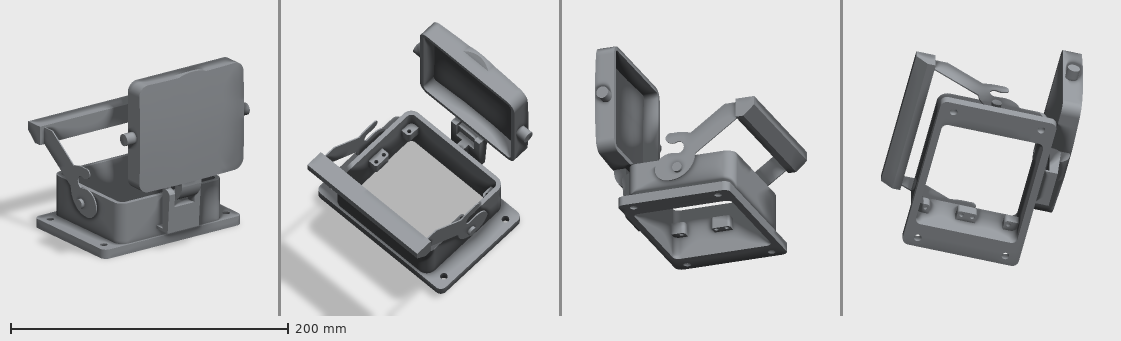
import cadquery as cq
TOTAL_HEIGHT = 138.0

PLATE_X = 86.0
PLATE_Y = 124.0
PLATE_THICKNESS = 7.0
PLATE_CORNER_R = 5.0
MOUNT_HOLE_DIA = 5.5
MOUNT_HOLE_PITCH_X = 65.0
MOUNT_HOLE_PITCH_Y = 109.6

HOUSING_X = 82.3
HOUSING_Y = 93.2
HOUSING_TOP = 38.1
WALL = 3.5
CORNER_R = 7.7

TAB_TOP = 25.4
TAB_HEIGHT = 8.7
TAB_DEPTH = 7.5
CORNER_TAB_WIDTH = 10.2
MIDDLE_TAB_WIDTH = 14.4
CORNER_TAB_R = 2.8
MIDDLE_TAB_R = 2.0
SCREW_HOLE_DIA = 3.0
SCREW_HOLE_FROM_WALL = 4.5
CORNER_SCREW_OFFSET = 6.9
MIDDLE_SCREW_PITCH = 8.0

LEVER_PIVOT_Z = 28.0
LEVER_SHAFT_DIA = 4.8
LEVER_HEAD_DIA = 7.2
LEVER_HEAD_END_Y = 53.3
ARM_INNER_Y = 49.8
ARM_THICKNESS = 1.0
ARM_TOP = 72.9
ARM_TOP_END_X = -35.9
ARM_LOWER_EDGE_Z = 60.6
HOOK_ROOT = (-9.8, 54.3)
LOBE_START = (-1.2, 39.8)
LOBE_END = (-13.1, 37.5)
GRIP_MIN_X = -60.0
GRIP_WIDTH = 14.4
GRIP_LENGTH = 108.5
GRIP_TOP = 74.0
GRIP_HEIGHT = 14.2
GRIP_CHAMFER_X = 8.4
GRIP_CHAMFER_Z = 7.6

LID_RIM_X = 50.7
LID_MAX_X = 67.5
LID_MIN_Z = 53.5
LID_DOME_R = 600.5
LID_POCKET_R = 3.3
LID_PIN_DIA = 9.0
LID_PIN_FROM_RIM = 6.1
LID_PIN_SPAN = 109.8
LIP_CHORD = 24.5
LIP_START_X = 59.9
LIP_FULL_X = 63.6

BRACKET_X = 48.6
BRACKET_WIDTH = 27.9
BRACKET_BOTTOM = 13.0
BRACKET_FLOOR = 32.7
BRACKET_TOP = 46.7
BRACKET_BASE_BACK_X = 54.7
NOSE_START_X = 51.2
NOSE_MIDDLE = (54.4, 45.7)
NOSE_END = (57.0, 43.1)
FOOT_TOP = 15.2
RIB_WIDTH = 6.4
RIB_FILLET = 3.9
TONGUE_WIDTH = 17.1
TONGUE_GAP = 18.0
TONGUE_X = 56.0
TONGUE_BACK_X = 65.0
TONGUE_ARC_START_X = 53.2
TONGUE_ARC_MIDDLE = (61.0, 41.4)
TONGUE_ARC_END_Z = 50.4
KNUCKLE_X = 50.8
KNUCKLE_BOTTOM = 37.3
KNUCKLE_TOP = 43.8
HINGE_PIN_DIA = 3.3
HINGE_PIN_X = 53.8
HINGE_PIN_Z = 40.6

lid_center_z = LID_MIN_Z + HOUSING_X / 2
lid_max_z = LID_MIN_Z + HOUSING_X
inner_x = HOUSING_X - 2 * WALL
inner_y = HOUSING_Y - 2 * WALL


def box(x_range, y_range, z_range):
    """Axis-aligned box between the given limits."""
    size = [high - low for low, high in (x_range, y_range, z_range)]
    corner = (x_range[0], y_range[0], z_range[0])
    return cq.Workplane("XY").box(*size, centered=False).translate(corner)


def across_y(profile, y_min, y_max):
    """Extrude a closed XZ profile between two Y positions."""
    return profile.extrude(y_min - y_max).translate((0, y_min, 0))


def xz():
    return cq.Workplane("XZ")


def mirrored_in_y(shape):
    return shape.union(shape.mirror("XZ"))


def base_plate():
    plate = cq.Workplane("XY").rect(PLATE_X, PLATE_Y).extrude(PLATE_THICKNESS)
    plate = plate.edges("|Z").fillet(PLATE_CORNER_R)
    holes = (
        cq.Workplane("XY")
        .rect(MOUNT_HOLE_PITCH_X, MOUNT_HOLE_PITCH_Y, forConstruction=True)
        .vertices()
        .circle(MOUNT_HOLE_DIA / 2)
        .extrude(PLATE_THICKNESS)
    )
    return plate.cut(holes)


def screw_tab(x_min, x_max, rounded_edges, radius, hole_xs):
    """Tab on the -Y wall with its free vertical corners rounded."""
    wall_y = -inner_y / 2
    tab = box((x_min, x_max), (wall_y - WALL / 2, wall_y + TAB_DEPTH), (TAB_TOP - TAB_HEIGHT, TAB_TOP))
    tab = tab.edges(rounded_edges).fillet(radius)
    holes = (
        cq.Workplane("XY")
        .pushPoints([(x, wall_y + SCREW_HOLE_FROM_WALL) for x in hole_xs])
        .circle(SCREW_HOLE_DIA / 2)
        .extrude(TAB_TOP)
    )
    return tab.cut(holes)


def screw_tabs():
    wall_x = inner_x / 2
    corner_tab = screw_tab(
        -wall_x - WALL / 2,
        -wall_x + CORNER_TAB_WIDTH,
        "|Z and >X and >Y",
        CORNER_TAB_R,
        [-wall_x + CORNER_SCREW_OFFSET],
    )
    middle_tab = screw_tab(
        -MIDDLE_TAB_WIDTH / 2,
        MIDDLE_TAB_WIDTH / 2,
        "|Z and >Y",
        MIDDLE_TAB_R,
        [-MIDDLE_SCREW_PITCH / 2, MIDDLE_SCREW_PITCH / 2],
    )
    return mirrored_in_y(corner_tab.union(corner_tab.mirror("YZ")).union(middle_tab))


def base():
    housing = cq.Workplane("XY").rect(HOUSING_X, HOUSING_Y).extrude(HOUSING_TOP)
    housing = housing.edges("|Z").fillet(CORNER_R)
    opening = cq.Workplane("XY").rect(inner_x, inner_y).extrude(HOUSING_TOP)
    opening = opening.edges("|Z").fillet(CORNER_R - WALL)
    tabs = screw_tabs().intersect(housing)
    return base_plate().union(housing).cut(opening).union(tabs)


def lever_arm():
    """Thin arm with a hook for the lid pin and a rounded lobe around the pivot."""
    grip_x = GRIP_MIN_X + GRIP_WIDTH
    outline = (
        xz()
        .moveTo(grip_x, ARM_TOP)
        .lineTo(ARM_TOP_END_X, ARM_TOP)
        .lineTo(*HOOK_ROOT)
        .threePointArc((-2.8, 55.9), (4.4, 56.0))
        .threePointArc((9.5, 52.9), (6.4, 48.7))
        .threePointArc((3.0, 48.0), (0.5, 48.9))
        .threePointArc((-4.5, 44.3), LOBE_START)
        .threePointArc((2.2, 40.0), (5.7, 40.5))
        .threePointArc((14.4, 36.7), (17.8, 27.9))
        .threePointArc((14.1, 21.8), (5.5, 19.3))
        .threePointArc((-9.0, 26.2), LOBE_END)
        .lineTo(grip_x, ARM_LOWER_EDGE_Z)
        .close()
    )
    return across_y(outline, ARM_INNER_Y, ARM_INNER_Y + ARM_THICKNESS)


def lever_pivot():
    shaft_start = HOUSING_Y / 2 - WALL / 2
    arm_outer = ARM_INNER_Y + ARM_THICKNESS
    pivot = xz().center(0, LEVER_PIVOT_Z)
    shaft = across_y(pivot.circle(LEVER_SHAFT_DIA / 2), shaft_start, LEVER_HEAD_END_Y)
    head = across_y(pivot.circle(LEVER_HEAD_DIA / 2), arm_outer, LEVER_HEAD_END_Y)
    return shaft.union(head)


def lever():
    grip_x = GRIP_MIN_X + GRIP_WIDTH
    grip_bottom = GRIP_TOP - GRIP_HEIGHT
    grip_outline = xz().polyline([
        (GRIP_MIN_X, GRIP_TOP),
        (grip_x, GRIP_TOP),
        (grip_x, grip_bottom),
        (GRIP_MIN_X + GRIP_CHAMFER_X, grip_bottom),
        (GRIP_MIN_X, grip_bottom + GRIP_CHAMFER_Z),
    ]).close()
    grip = across_y(grip_outline, -GRIP_LENGTH / 2, GRIP_LENGTH / 2)
    return grip.union(mirrored_in_y(lever_arm().union(lever_pivot())))


def dome(radius):
    """Ball centred far on the -X side of the lid."""
    return cq.Workplane("XY").sphere(radius).translate((LID_MAX_X - LID_DOME_R, 0, lid_center_z))


def lid_block(size_y, size_z, corner_r):
    """Rounded block running from the lid's rim out past its dome."""
    block = box(
        (LID_RIM_X, LID_MAX_X + WALL),
        (-size_y / 2, size_y / 2),
        (lid_center_z - size_z / 2, lid_center_z + size_z / 2),
    )
    return block.edges("|X").fillet(corner_r)


def finger_lip():
    """Low arched lip on the lid's top edge with a sloping front."""
    arch = (
        cq.Workplane("YZ")
        .moveTo(-LIP_CHORD / 2, lid_max_z)
        .threePointArc((0, TOTAL_HEIGHT), (LIP_CHORD / 2, lid_max_z))
        .lineTo(LIP_CHORD / 2, lid_max_z - WALL / 2)
        .lineTo(-LIP_CHORD / 2, lid_max_z - WALL / 2)
        .close()
        .extrude(LID_MAX_X)
    )
    slope = xz().polyline([
        (LIP_START_X, lid_max_z),
        (LIP_FULL_X, TOTAL_HEIGHT),
        (LID_MAX_X, TOTAL_HEIGHT),
        (LID_MAX_X, lid_max_z - WALL / 2),
        (LIP_START_X, lid_max_z - WALL / 2),
    ]).close()
    return arch.intersect(across_y(slope, -LIP_CHORD / 2, LIP_CHORD / 2))


def lid():
    shell = lid_block(HOUSING_Y, HOUSING_X, CORNER_R).union(finger_lip()).intersect(dome(LID_DOME_R))
    pocket = lid_block(inner_y, inner_x, LID_POCKET_R).intersect(dome(LID_DOME_R - WALL))
    pin_circle = xz().center(LID_RIM_X + LID_PIN_FROM_RIM, lid_center_z).circle(LID_PIN_DIA / 2)
    pin = across_y(pin_circle, HOUSING_Y / 2 - WALL / 2, LID_PIN_SPAN / 2)
    return shell.cut(pocket).union(mirrored_in_y(pin))


def hinge_bracket():
    """Forked bracket carried by a foot and a rib on the +X wall of the housing."""
    half_width = BRACKET_WIDTH / 2
    wall_x = HOUSING_X / 2 - WALL / 2
    outline = (
        xz()
        .moveTo(BRACKET_X, BRACKET_BOTTOM)
        .lineTo(BRACKET_X, BRACKET_TOP)
        .lineTo(NOSE_START_X, BRACKET_TOP)
        .threePointArc(NOSE_MIDDLE, NOSE_END)
        .lineTo(BRACKET_BASE_BACK_X, BRACKET_BOTTOM)
        .close()
    )
    fork = across_y(outline, -half_width, half_width)
    gap = box((BRACKET_X, LID_MAX_X), (-TONGUE_GAP / 2, TONGUE_GAP / 2), (BRACKET_FLOOR, BRACKET_TOP))
    foot = box((wall_x, BRACKET_X), (-half_width, half_width), (BRACKET_BOTTOM, FOOT_TOP))
    rib = box((wall_x, BRACKET_X), (-RIB_WIDTH / 2, RIB_WIDTH / 2), (BRACKET_BOTTOM, BRACKET_FLOOR))
    carrier = foot.union(rib)
    edge_low = (BRACKET_BOTTOM + FOOT_TOP) / 2
    edge_high = (FOOT_TOP + BRACKET_FLOOR) / 2
    root_edges = cq.selectors.BoxSelector((0, -RIB_WIDTH, edge_low), (BRACKET_X, RIB_WIDTH, edge_high))
    carrier = carrier.edges("|X").edges(root_edges).fillet(RIB_FILLET)
    return fork.cut(gap).union(carrier)


def hinge_tongue():
    """Tongue hanging from the lid into the fork, with the pin it turns on."""
    inside_lid_z = LID_MIN_Z + WALL / 2
    outline = (
        xz()
        .moveTo(TONGUE_X, inside_lid_z)
        .lineTo(TONGUE_X, KNUCKLE_TOP)
        .lineTo(KNUCKLE_X, KNUCKLE_TOP)
        .lineTo(KNUCKLE_X, KNUCKLE_BOTTOM)
        .lineTo(TONGUE_ARC_START_X, KNUCKLE_BOTTOM)
        .threePointArc(TONGUE_ARC_MIDDLE, (TONGUE_BACK_X, TONGUE_ARC_END_Z))
        .lineTo(TONGUE_BACK_X, inside_lid_z)
        .close()
    )
    tongue = across_y(outline, -TONGUE_WIDTH / 2, TONGUE_WIDTH / 2)
    pin_end = (TONGUE_GAP + BRACKET_WIDTH) / 4
    pin = across_y(xz().center(HINGE_PIN_X, HINGE_PIN_Z).circle(HINGE_PIN_DIA / 2), -pin_end, pin_end)
    return tongue.union(pin)


result = base().union(hinge_bracket()).union(hinge_tongue()).union(lid()).union(lever())